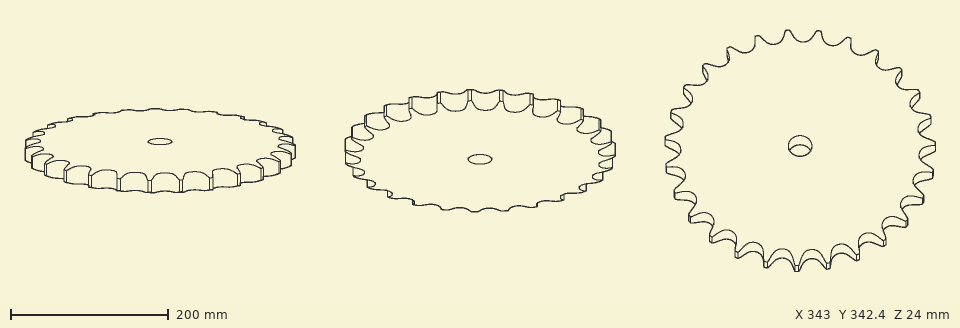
import cadquery as cq
import math


TOOTH_COUNT = 27
OVERALL_WIDTH = 343.0
PITCH_DIAMETER = 328.0
ROLLER_DIAMETER = 25.5
TIP_WIDTH = 4.5
THICKNESS = 24.0
BORE_DIAMETER = 30.0
RELIEF_START_RADIUS = 154.3
TIP_THICKNESS = 15.5

SEAT_CLEARANCE = 1.01
SEAT_END_SLOPE = math.radians(32.8)
WORKING_RADIUS = 44.5
WORKING_SWEEP = math.radians(10)
FLANK_LENGTH = 3.5

gap_angle = 2 * math.pi / TOOTH_COUNT
pitch_radius = PITCH_DIAMETER / 2
seat_radius = SEAT_CLEARANCE * ROLLER_DIAMETER / 2

widest_tooth_angle = gap_angle / 4
tip_corner_out = (
    OVERALL_WIDTH / 2 - TIP_WIDTH / 2 * math.sin(widest_tooth_angle)
) / math.cos(widest_tooth_angle)
tip_radius = math.hypot(tip_corner_out, TIP_WIDTH / 2)


def on_arc(centre, radius, slope):
    """Point on an arc where the tangent leans by slope from the gap centreline."""
    return (centre[0] + radius * math.cos(slope), centre[1] - radius * math.sin(slope))


def flank_points():
    """Points up one side of a gap, from the end of the seat to the tooth tip."""
    seat_end = on_arc((0, pitch_radius), seat_radius, SEAT_END_SLOPE)

    working_centre = on_arc(seat_end, -WORKING_RADIUS, SEAT_END_SLOPE)
    working_mid = on_arc(working_centre, WORKING_RADIUS, SEAT_END_SLOPE - WORKING_SWEEP / 2)
    flank_slope = SEAT_END_SLOPE - WORKING_SWEEP
    working_end = on_arc(working_centre, WORKING_RADIUS, flank_slope)

    flank_end = (
        working_end[0] + FLANK_LENGTH * math.sin(flank_slope),
        working_end[1] + FLANK_LENGTH * math.cos(flank_slope),
    )

    tip_angle = gap_angle / 2 - math.asin(TIP_WIDTH / 2 / tip_radius)
    tip = (tip_radius * math.sin(tip_angle), tip_radius * math.cos(tip_angle))
    rise = (tip[0] - flank_end[0], tip[1] - flank_end[1])
    chord_slope = math.atan2(rise[0], rise[1])
    half_sweep = chord_slope - flank_slope
    topping_radius = math.hypot(*rise) / (2 * math.sin(half_sweep))
    topping_centre = on_arc(flank_end, topping_radius, flank_slope)
    topping_mid = on_arc(topping_centre, -topping_radius, chord_slope)
    return seat_end, working_mid, working_end, flank_end, topping_mid, tip


def place(point, gap, side=1):
    """Turn a gap-frame point into the given gap, mirrored when side is -1."""
    angle = gap * gap_angle
    across, out = side * point[0], point[1]
    return (
        across * math.cos(angle) + out * math.sin(angle),
        out * math.cos(angle) - across * math.sin(angle),
    )


def toothed_blank():
    """Plate with the full tooth outline, centred on the XY plane."""
    flank = flank_points()
    corner = flank[-1]
    gap_bottom = (0, pitch_radius - seat_radius)
    tip_middle = (0, tip_radius)

    outline = cq.Workplane("XY").moveTo(*place(corner, 0, -1))
    for gap in range(TOOTH_COUNT):
        seat_end, working_mid, working_end, flank_end, topping_mid, _ = [
            place(point, gap, -1) for point in flank
        ]
        outline = outline.threePointArc(topping_mid, flank_end).lineTo(*working_end)
        outline = outline.threePointArc(working_mid, seat_end)

        seat_end, working_mid, working_end, flank_end, topping_mid, tip = [
            place(point, gap) for point in flank
        ]
        outline = outline.threePointArc(place(gap_bottom, gap), seat_end)
        outline = outline.threePointArc(working_mid, working_end).lineTo(*flank_end)
        outline = outline.threePointArc(topping_mid, tip)

        outline = outline.threePointArc(place(tip_middle, gap + 0.5), place(corner, gap + 1, -1))
    return outline.close().extrude(THICKNESS / 2, both=True)


def side_relief_envelope():
    """Disc whose flat faces curve in towards the thinner tooth tips."""
    relief_width = tip_radius - RELIEF_START_RADIUS
    relief_depth = (THICKNESS - TIP_THICKNESS) / 2
    relief_radius = (relief_width**2 + relief_depth**2) / (2 * relief_depth)
    half_angle = math.asin(relief_width / relief_radius) / 2
    mid_out = RELIEF_START_RADIUS + relief_radius * math.sin(half_angle)
    mid_height = THICKNESS / 2 - relief_radius * (1 - math.cos(half_angle))
    return (
        cq.Workplane("XZ")
        .moveTo(0, -THICKNESS / 2)
        .lineTo(RELIEF_START_RADIUS, -THICKNESS / 2)
        .threePointArc((mid_out, -mid_height), (tip_radius, -TIP_THICKNESS / 2))
        .lineTo(tip_radius, TIP_THICKNESS / 2)
        .threePointArc((mid_out, mid_height), (RELIEF_START_RADIUS, THICKNESS / 2))
        .lineTo(0, THICKNESS / 2)
        .close()
        .revolve(360, (0, 0, 0), (0, 1, 0))
    )


bore = cq.Workplane("XY").circle(BORE_DIAMETER / 2).extrude(THICKNESS, both=True)

result = toothed_blank().intersect(side_relief_envelope()).cut(bore)